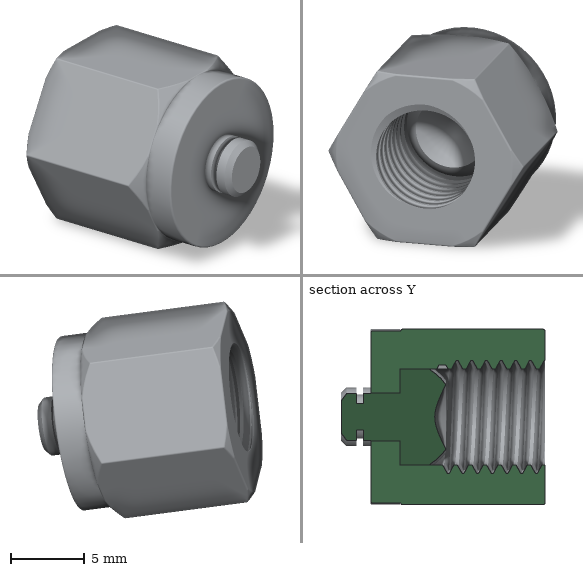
import cadquery as cq
import math


across_flats = 12.0
hex_length = 9.87
nut_length = 11.9
edge_round = 0.13
front_chamfer_radius = 6.24
front_chamfer_angle = 30
back_chamfer_radius = 6.03
back_chamfer_angle = 45

pitch = 1.0
major_radius = 4.0
flank_angle = 30
root_width = pitch / 8
sharp_height = pitch / (2 * math.tan(math.radians(flank_angle)))
minor_radius = major_radius - 5 / 8 * sharp_height
thread_length = 7 * pitch
thread_start_angle = 71.5
tool_overlap = 0.08

overall_length = 13.9
bore_depth = hex_length
head_radius = minor_radius
head_rim_length = 2.0
nose_radius = 4.0
nose_cone_radius = 2.5
nose_cone_angle = 120
stem_radius = 2.0
stem_groove_start = 12.4
stem_groove_width = 0.46
stem_groove_radius = 1.5
stem_chamfer = 0.36

flange_radius = across_flats / 2
corner_radius = across_flats / math.sqrt(3)


def revolve_profile(profile):
    """Turn a closed profile, drawn as X against radius, around the X axis."""
    return profile.close().revolve(360, (0, 0, 0), (1, 0, 0))


def hex_body():
    """Hexagonal bar, chamfered at both ends and rounded on every edge."""
    hexagon = cq.Workplane("YZ").polygon(6, 2 * corner_radius).extrude(hex_length)
    front_drop = (corner_radius - front_chamfer_radius) * math.tan(math.radians(front_chamfer_angle))
    back_drop = (corner_radius - back_chamfer_radius) * math.tan(math.radians(back_chamfer_angle))
    envelope = revolve_profile(
        cq.Workplane("XY")
        .lineTo(0, front_chamfer_radius)
        .lineTo(front_drop, corner_radius)
        .lineTo(hex_length - back_drop, corner_radius)
        .lineTo(hex_length, back_chamfer_radius)
        .lineTo(hex_length, 0)
    )
    return hexagon.intersect(envelope).edges().fillet(edge_round)


def flange():
    """Round collar behind the hexagon, with a rounded rim."""
    collar = cq.Workplane("YZ", origin=(hex_length, 0, 0)).circle(flange_radius)
    return collar.extrude(nut_length - hex_length).faces(">X").edges().fillet(edge_round)


def thread_cutter():
    """Right-hand helical groove, starting one turn in front of the nut."""
    tool_radius = minor_radius - tool_overlap
    half_root = root_width / 2
    half_mouth = half_root + (major_radius - tool_radius) * math.tan(math.radians(flank_angle))
    helix = cq.Wire.makeHelix(pitch, thread_length + pitch, tool_radius)
    groove = (
        cq.Workplane("XZ")
        .moveTo(tool_radius, -half_mouth)
        .lineTo(major_radius, -half_root)
        .lineTo(major_radius, half_root)
        .lineTo(tool_radius, half_mouth)
        .close()
        .sweep(cq.Workplane(helix), isFrenet=True)
        .rotate((0, 0, 0), (0, 0, 1), thread_start_angle)
    )
    nut_axis = cq.Plane(origin=(-pitch, 0, 0), xDir=(0, 1, 0), normal=(1, 0, 0))
    return cq.Workplane(groove.val().moved(cq.Location(nut_axis)))


def make_nut():
    """Hexagonal nut with a blind threaded bore and a stem hole through its end wall."""
    bore = cq.Workplane("YZ").circle(minor_radius).extrude(bore_depth)
    stem_hole = cq.Workplane("YZ").circle(stem_radius).extrude(nut_length)
    return hex_body().union(flange()).cut(bore).cut(stem_hole).cut(thread_cutter())


def make_plug():
    """Turned plug: coned spherical nose, head, and a stem grooved and chamfered at its end."""
    rim_front = bore_depth - head_rim_length
    ball_center = rim_front + math.sqrt(nose_radius**2 - head_radius**2)
    tip = ball_center - math.sqrt(nose_radius**2 - nose_cone_radius**2)
    cone_apex = tip + nose_cone_radius / math.tan(math.radians(nose_cone_angle / 2))
    middle_radius = (nose_cone_radius + head_radius) / 2
    middle_x = ball_center - math.sqrt(nose_radius**2 - middle_radius**2)
    groove_end = stem_groove_start + stem_groove_width
    return revolve_profile(
        cq.Workplane("XY")
        .moveTo(cone_apex, 0)
        .lineTo(tip, nose_cone_radius)
        .threePointArc((middle_x, middle_radius), (rim_front, head_radius))
        .lineTo(bore_depth, head_radius)
        .lineTo(bore_depth, stem_radius)
        .lineTo(stem_groove_start, stem_radius)
        .lineTo(stem_groove_start, stem_groove_radius)
        .lineTo(groove_end, stem_groove_radius)
        .lineTo(groove_end, stem_radius)
        .lineTo(overall_length - stem_chamfer, stem_radius)
        .lineTo(overall_length, stem_radius - stem_chamfer)
        .lineTo(overall_length, 0)
    )


nut = make_nut()
plug = make_plug()
result = cq.Compound.makeCompound([nut.solids().val(), plug.val()])